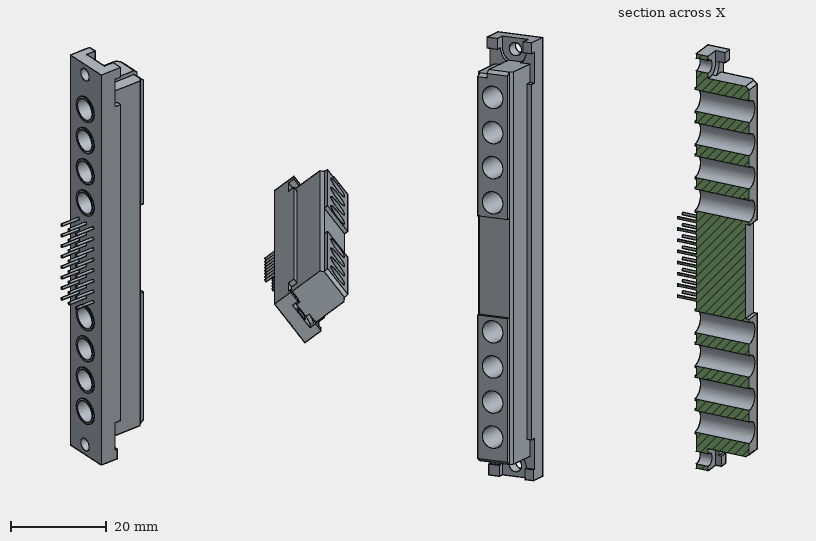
import cadquery as cq

length = 94.9
base_width = 10.5
wall_height = 5.1
lower_lip_height = 4.3
notch_floor = 3.7
notch_inner_z = 38.4
lip_inner_z = 45.1

total_depth = 17.1
pin_length = 4.5
housing_top = total_depth - pin_length
housing_width = 8.35
housing_half_length = 42.4
housing_chamfer = 0.7
ridge_height = 0.9
ridge_bevel_length = 0.7
ridge_gap = 21.4
step_x = 1.3
step_drop = 0.95

screw_x = -0.3
screw_z = 45.0
screw_diameter = 2.8
seat_diameter = 6.1
seat_floor = 2.8

tube_outer_diameter = 5.8
tube_bore_diameter = 4.8
tube_protrusion = 0.3
tube_embedment = 2.8
tube_pitch = 7.6
tubes_per_group = 4
first_tube_z = 13.95

pin_diameter = 0.6
pin_embedment = 1.9
pin_columns = 3
pin_rows = 8
pin_pitch_x = 2.5
pin_pitch_z = 2.6


def block(x_range, y_range, z_range):
    """Box filling the given coordinate ranges."""
    ranges = (x_range, y_range, z_range)
    sizes = [high - low for low, high in ranges]
    corner = tuple(low for low, high in ranges)
    return cq.Workplane("XY").box(*sizes, centered=False).translate(corner)


def rod(diameter, x, z, y_start, y_end):
    """Cylinder along Y between two Y positions."""
    centre = cq.Vector(x, y_start, z)
    solid = cq.Solid.makeCylinder(diameter / 2, y_end - y_start, centre, cq.Vector(0, 1, 0))
    return cq.Workplane(obj=solid)


def make_base():
    """Side profile of walls, notches and end lips, extruded across the width."""
    half = length / 2
    profile = [
        (0, -half),
        (lower_lip_height, -half),
        (lower_lip_height, -lip_inner_z),
        (notch_floor, -lip_inner_z),
        (notch_floor, -notch_inner_z),
        (wall_height, -notch_inner_z),
        (wall_height, notch_inner_z),
        (notch_floor, notch_inner_z),
        (notch_floor, lip_inner_z),
        (wall_height, lip_inner_z),
        (wall_height, half),
        (0, half),
    ]
    base = cq.Workplane("YZ").polyline(profile).close().extrude(base_width / 2, both=True)
    for side in (1, -1):
        base = base.cut(screw_seat(side))
        base = base.cut(rod(screw_diameter, screw_x, side * screw_z, 0, wall_height))
    return base


def screw_seat(side):
    """Round-ended channel that opens through the end of the base."""
    radius = seat_diameter / 2
    z_low, z_high = sorted((side * screw_z, side * length / 2))
    channel = block((screw_x - radius, screw_x + radius), (seat_floor, wall_height), (z_low, z_high))
    return channel.union(rod(seat_diameter, screw_x, side * screw_z, seat_floor, wall_height))


def make_housing():
    """Chamfered body with raised pads, stepped at its upper end."""
    body_top = housing_top - ridge_height
    half_width = housing_width / 2
    pad_half_width = half_width - housing_chamfer
    body = block(
        (-half_width, half_width),
        (seat_floor, body_top),
        (-housing_half_length, housing_half_length),
    )
    body = body.faces(">Y").edges("|Z").chamfer(housing_chamfer)
    step_z = housing_half_length - step_drop
    body = body.cut(block((step_x, half_width), (seat_floor, body_top), (step_z, housing_half_length)))

    body = body.union(raised_pad(-pad_half_width, pad_half_width, -housing_half_length))
    body = body.union(raised_pad(-pad_half_width, step_x, housing_half_length))
    return body.union(raised_pad(step_x, pad_half_width, step_z))


def raised_pad(x_low, x_high, z_end):
    """Pad reaching from the central gap to z_end, its outer end bevelled over its full height."""
    side = 1 if z_end > 0 else -1
    body_top = housing_top - ridge_height
    profile = [
        (body_top, side * ridge_gap / 2),
        (housing_top, side * ridge_gap / 2),
        (housing_top, z_end - side * ridge_bevel_length),
        (body_top, z_end),
    ]
    pad = cq.Workplane("YZ").polyline(profile).close().extrude(x_high - x_low)
    return pad.translate((x_low, 0, 0))


def add_tubes(part):
    """Two groups of protruding contact tubes bored right through the part."""
    for side in (1, -1):
        for index in range(tubes_per_group):
            z = side * (first_tube_z + index * tube_pitch)
            part = part.union(rod(tube_outer_diameter, 0, z, -tube_protrusion, tube_embedment))
            part = part.cut(rod(tube_bore_diameter, 0, z, -tube_protrusion, housing_top))
    return part


def add_pins(part):
    """Grid of pins projecting from the back of the base."""
    for column in range(pin_columns):
        x = (column - (pin_columns - 1) / 2) * pin_pitch_x
        for row in range(pin_rows):
            z = (row - (pin_rows - 1) / 2) * pin_pitch_z
            part = part.union(rod(pin_diameter, x, z, -pin_length, pin_embedment))
    return part


result = add_pins(add_tubes(make_base().union(make_housing())))